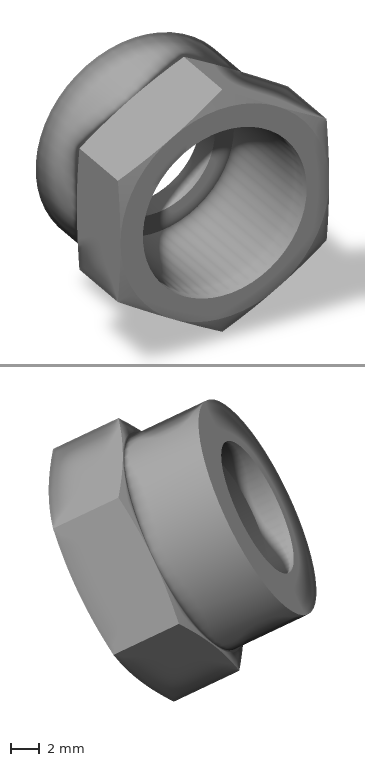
import cadquery as cq
import math

total_length = 12.0
corner_diameter = 19.63
collar_diameter = 16.6
bore_diameter = 10.2
counterbore_diameter = 13.35
lip_thickness = 2.0
chamfer_angle = 15.0

collar_length = total_length / 2
hex_length = total_length - collar_length
corner_radius = corner_diameter / 2
flat_radius = corner_radius * math.cos(math.radians(30))
chamfer_length = (corner_radius - flat_radius) * math.tan(math.radians(chamfer_angle))


def cylinder(diameter, start, length):
    """Solid cylinder along +X from the given start position."""
    return cq.Workplane("YZ", origin=(start, 0, 0)).circle(diameter / 2).extrude(length)


def hexagonal_head():
    """Hexagon with corners on Z, its corners turned down conically at both ends."""
    hexagon = (
        cq.Workplane("YZ", origin=(collar_length, 0, 0))
        .transformed(rotate=(0, 0, 90))
        .polygon(6, corner_diameter)
        .extrude(hex_length)
    )
    envelope = (
        cq.Workplane("XY")
        .moveTo(collar_length, 0)
        .lineTo(collar_length, flat_radius)
        .lineTo(collar_length + chamfer_length, corner_radius)
        .lineTo(total_length - chamfer_length, corner_radius)
        .lineTo(total_length, flat_radius)
        .lineTo(total_length, 0)
        .close()
        .revolve(360, (0, 0, 0), (1, 0, 0))
    )
    return hexagon.intersect(envelope)


collar = cylinder(collar_diameter, 0, collar_length)
bore = cylinder(bore_diameter, 0, total_length)
counterbore = cylinder(counterbore_diameter, lip_thickness, total_length - lip_thickness)

result = hexagonal_head().union(collar).cut(bore).cut(counterbore)